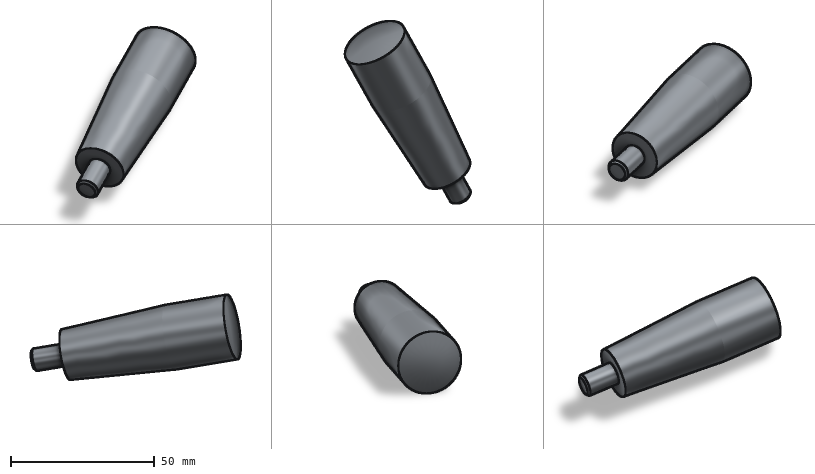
import cadquery as cq

total_length = 73.0
grip_diameter = 23.0
neck_diameter = 18.0
stud_diameter = 8.0
stud_length = 12.0
stud_chamfer = 0.8
straight_length = 22.05
dome_height = 0.95

grip_radius = grip_diameter / 2
neck_radius = neck_diameter / 2
stud_radius = stud_diameter / 2

stud_tip = -stud_length
dome_top = total_length - stud_length
dome_base = dome_top - dome_height
taper_end = dome_base - straight_length

dome_radius = (grip_radius**2 + dome_height**2) / (2 * dome_height)
arc_mid_x = grip_radius / 2
arc_mid_y = dome_top - dome_radius + (dome_radius**2 - arc_mid_x**2) ** 0.5

profile = (
    cq.Workplane("XY")
    .moveTo(0, stud_tip)
    .lineTo(stud_radius - stud_chamfer, stud_tip)
    .lineTo(stud_radius, stud_tip + stud_chamfer)
    .lineTo(stud_radius, 0)
    .lineTo(neck_radius, 0)
    .lineTo(grip_radius, taper_end)
    .lineTo(grip_radius, dome_base)
    .threePointArc((arc_mid_x, arc_mid_y), (0, dome_top))
    .close()
)

result = profile.revolve(360, (0, 0, 0), (0, 1, 0))